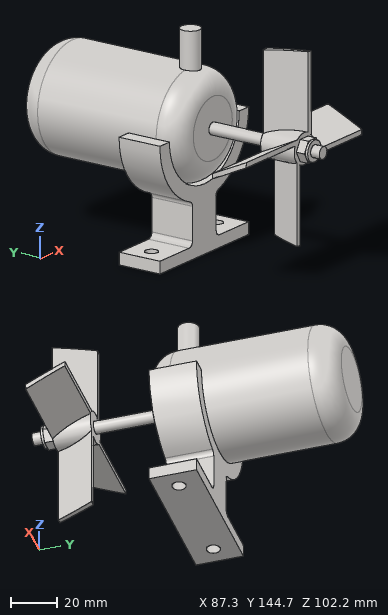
import cadquery as cq
import math


motor_radius = 26.2
motor_length = 86.1
motor_edge_radius = 11.6
pipe_diameter = 9.7
pipe_top = 43.7
pipe_position = 11.9
shaft_diameter = 5.8
shaft_length = 58.6

bracket_front = 4.5
bracket_depth = 21.7
bracket_width = 66.7
bracket_bottom = -58.5
base_thickness = 6.0
web_width = 17.8
web_fillet = 2.6
mount_hole_diameter = 6.1
mount_hole_inset = 9.0

blade_count = 4
propeller_diameter = 87.3
hub_radius = 7.4
propeller_back = -30.5
propeller_length = 18.0
blade_sweep = 10.9
blade_edge_width = 2.5
nut_flats = 10.1
nut_length = 4.3
collar_length = 1.2

propeller_radius = propeller_diameter / 2
propeller_front = propeller_back - propeller_length
nut_front = propeller_front - nut_length


def rod_along_y(radius, start, length):
    """Cylinder on the shaft axis that runs from start toward -Y."""
    return cq.Workplane("XZ", origin=(0, start, 0)).circle(radius).extrude(length)


def make_motor():
    """Rounded can with a vertical pipe and the drive shaft."""
    can = rod_along_y(motor_radius, motor_length, motor_length)
    can = can.edges("%CIRCLE").fillet(motor_edge_radius)
    pipe = cq.Workplane("XY").center(0, pipe_position).circle(pipe_diameter / 2).extrude(pipe_top)
    shaft = rod_along_y(shaft_diameter / 2, 0, shaft_length)
    return can.union(pipe).union(shaft)


def make_bracket():
    """Half-ring cradle on a web and a flat base with two mounting holes."""
    back = bracket_front + bracket_depth
    outer_radius = bracket_width / 2
    base_top = bracket_bottom + base_thickness
    profile = cq.Workplane("XZ", origin=(0, back, 0))

    cradle = (
        profile.moveTo(-outer_radius, 0)
        .threePointArc((0, -outer_radius), (outer_radius, 0))
        .close()
        .extrude(bracket_depth)
    )
    web = (
        profile.center(0, bracket_bottom / 2)
        .rect(web_width, -bracket_bottom)
        .extrude(bracket_depth)
    )
    base = (
        profile.center(0, bracket_bottom + base_thickness / 2)
        .rect(bracket_width, base_thickness)
        .extrude(bracket_depth)
    )
    body = cradle.union(web).union(base)

    web_side = web_width / 2
    web_top = -math.sqrt(outer_radius**2 - web_side**2)
    corner_middle = bracket_front + bracket_depth / 2
    for side in (-web_side, web_side):
        for height in (base_top, web_top):
            corner = cq.selectors.NearestToPointSelector((side, corner_middle, height))
            body = body.edges("|Y").edges(corner).fillet(web_fillet)

    hole_offset = outer_radius - mount_hole_inset
    holes = (
        cq.Workplane("XY", origin=(0, corner_middle, bracket_bottom))
        .pushPoints([(-hole_offset, 0), (hole_offset, 0)])
        .circle(mount_hole_diameter / 2)
        .extrude(base_thickness)
    )
    seat = rod_along_y(motor_radius, back, bracket_depth)
    return body.cut(seat).cut(holes)


def make_blade():
    """Upright slanted blade, trimmed to the propeller's round outline."""
    half_sweep = blade_sweep / 2
    section = [
        (-half_sweep, propeller_back),
        (-half_sweep + blade_edge_width, propeller_back),
        (half_sweep, propeller_front),
        (half_sweep - blade_edge_width, propeller_front),
    ]
    slab = cq.Workplane("XY").polyline(section).close().extrude(propeller_radius)
    return slab.intersect(rod_along_y(propeller_radius, propeller_back, propeller_length))


def make_propeller():
    """Hub with blades, a hexagonal nut and a collar, bored for the shaft."""
    body = rod_along_y(hub_radius, propeller_back, propeller_length)
    blade = make_blade()
    for index in range(blade_count):
        angle = index * 360 / blade_count
        body = body.union(blade.rotate((0, 0, 0), (0, 1, 0), angle))

    nut_corners = nut_flats / math.cos(math.pi / 6)
    nut = cq.Workplane("XZ", origin=(0, propeller_front, 0)).polygon(6, nut_corners).extrude(nut_length)
    collar = rod_along_y(nut_flats / 2, nut_front, collar_length)
    bore = rod_along_y(shaft_diameter / 2, 0, shaft_length)
    return body.union(nut).union(collar).cut(bore)


motor = make_motor()
bracket = make_bracket()
propeller = make_propeller()

result = cq.Compound.makeCompound([motor.solids().val(), bracket.solids().val(), propeller.solids().val()])